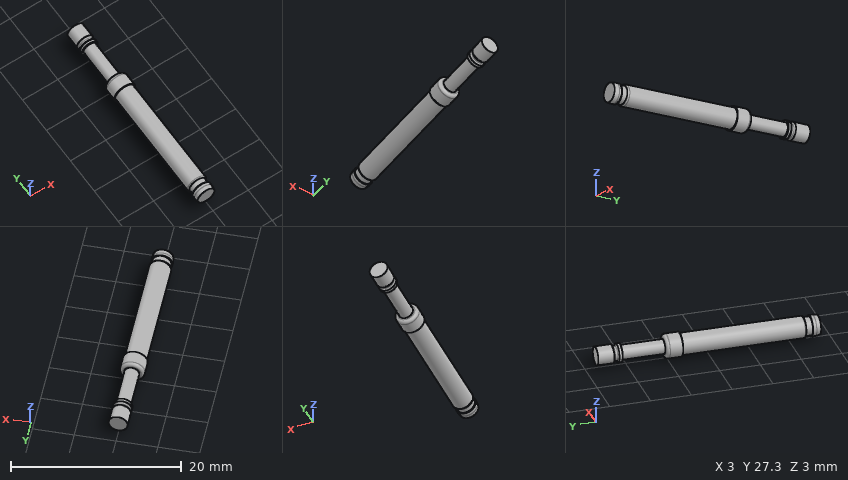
import cadquery as cq

total_length = 27.3
tip_y = total_length / 2
tail_y = -total_length / 2

head_radius = 1.15
head_length = 2.0
groove_length = 0.6
groove_fillet = 0.16
flange_length = 0.4
stem_radius = 0.9
stem_length = 5.27

collar_radius = 1.5
collar_length = 2.05
collar_fillet = 0.4
tube_radius = 1.35

tail_neck_radius = 1.15
tail_neck_length = 0.8
tail_tip_radius = 1.28
tail_tip_length = 1.0
tail_face_radius = 1.2
tail_curve_length = 0.6

groove_start_y = tip_y - head_length
groove_end_y = groove_start_y - groove_length
stem_start_y = groove_end_y - flange_length
collar_start_y = stem_start_y - stem_length
collar_end_y = collar_start_y - collar_length
tail_tip_start_y = tail_y + tail_tip_length
tube_end_y = tail_tip_start_y + tail_neck_length


def cylinder(radius, start_y, end_y):
    """Solid cylinder on the Y axis, running from start_y down to end_y."""
    return cq.Workplane("XZ", origin=(0, start_y, 0)).circle(radius).extrude(start_y - end_y)


def make_plunger():
    head = cylinder(head_radius, tip_y, stem_start_y)
    groove_cutter = cylinder(head_radius, groove_start_y, groove_end_y).cut(make_groove_core())
    stem = cylinder(stem_radius, stem_start_y, collar_start_y)
    return head.cut(groove_cutter).union(stem)


def make_groove_core():
    """Material left inside the groove, with a concave fillet at each wall."""
    shoulder_radius = stem_radius + groove_fillet
    return (
        cq.Workplane("XY")
        .moveTo(0, groove_start_y)
        .lineTo(shoulder_radius, groove_start_y)
        .radiusArc((stem_radius, groove_start_y - groove_fillet), -groove_fillet)
        .lineTo(stem_radius, groove_end_y + groove_fillet)
        .radiusArc((shoulder_radius, groove_end_y), -groove_fillet)
        .lineTo(0, groove_end_y)
        .close()
        .revolve(360, (0, 0, 0), (0, 1, 0))
    )


def make_barrel():
    collar = cylinder(collar_radius, collar_start_y, collar_end_y)
    collar = collar.faces(">Y").edges().fillet(collar_fillet)
    tube_end_fillet = tube_radius - tail_neck_radius
    tube = cylinder(tube_radius, collar_end_y, tube_end_y)
    tube = tube.faces("<Y").edges().fillet(tube_end_fillet)
    return collar.union(tube)


def make_tail():
    neck = cylinder(tail_neck_radius, tube_end_y, tail_tip_start_y)
    curve_drop = tail_tip_radius - tail_face_radius
    curve_radius = (tail_curve_length**2 + curve_drop**2) / (2 * curve_drop)
    tip = (
        cq.Workplane("XY")
        .moveTo(0, tail_tip_start_y)
        .lineTo(tail_tip_radius, tail_tip_start_y)
        .lineTo(tail_tip_radius, tail_y + tail_curve_length)
        .radiusArc((tail_face_radius, tail_y), curve_radius)
        .lineTo(0, tail_y)
        .close()
        .revolve(360, (0, 0, 0), (0, 1, 0))
    )
    return neck.union(tip)


result = make_plunger().union(make_barrel()).union(make_tail())